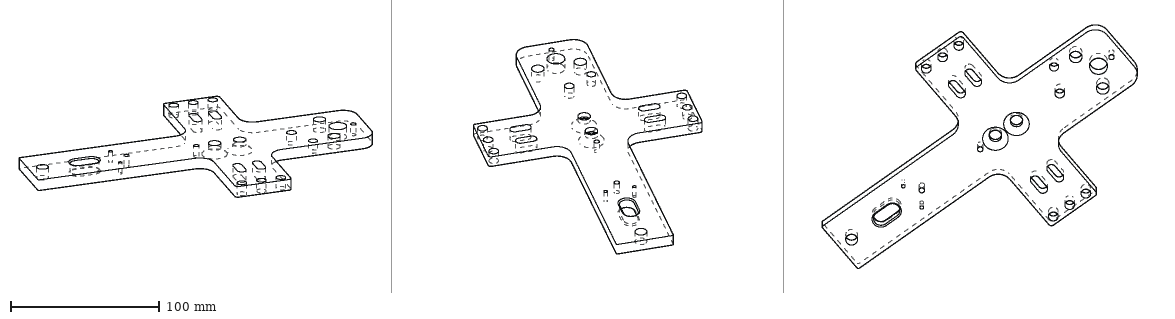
import cadquery as cq

length = 240.0
arm_span = 150.0
thickness = 8.0
head_width = 50.0
tail_width = 40.0
arm_width = 40.0
arm_center_y = 22.0

head_corner_radius = 10.0
inner_corner_radius = 10.0
arm_corner_radius = 2.2
tail_corner_radius = 1.0

center_holes = [
    (112.0, 3.5),
    (101.0, 12.0),
    (68.0, 6.5),
    (0.0, 3.5),
    (-50.0, 3.5),
    (-110.0, 8.0),
]

countersunk_ys = [31.0, 13.0]
countersunk_diameter = 8.5
countersink_diameter = 17.3

head_pair_x = 15.0
head_pair_y = 93.0
head_pair_diameter = 8.5
tail_pair_x = 10.0
tail_pair_y = -57.8
tail_pair_diameter = 2.5

side_hole_x = 18.0
side_hole_y = 77.0
side_hole_diameter = 6.0

arm_hole_x = 69.8
arm_hole_pitch = 14.0
arm_hole_diameter = 6.5

arm_slot_x = 45.0
arm_slot_pitch = 14.0
arm_slot_length = 14.6
arm_slot_width = 6.2

tail_slot_y = -80.0
tail_slot_length = 20.0
tail_slot_width = 10.0
tail_slot_chamfer = 1.0


def plate_block(width, y_low, y_high):
    """Rectangular block of plate thickness, centred on X."""
    block = cq.Workplane("XY").box(width, y_high - y_low, thickness, centered=(True, False, False))
    return block.translate((0, y_low, 0))


def round_corners(plate, half_width, y, radius):
    """Round the two upright edges at (+-half_width, y)."""
    for x in (-half_width, half_width):
        corner = cq.selectors.NearestToPointSelector((x, y, thickness / 2))
        plate = plate.edges("|Z").edges(corner).fillet(radius)
    return plate


def make_plate():
    arm_low = arm_center_y - arm_width / 2
    arm_high = arm_center_y + arm_width / 2
    plate = plate_block(arm_span, arm_low, arm_high)
    plate = plate.union(plate_block(head_width, arm_center_y, length / 2))
    plate = plate.union(plate_block(tail_width, -length / 2, arm_center_y))

    plate = round_corners(plate, head_width / 2, length / 2, head_corner_radius)
    plate = round_corners(plate, head_width / 2, arm_high, inner_corner_radius)
    plate = round_corners(plate, tail_width / 2, arm_low, inner_corner_radius)
    plate = round_corners(plate, arm_span / 2, arm_high, arm_corner_radius)
    plate = round_corners(plate, arm_span / 2, arm_low, arm_corner_radius)
    return round_corners(plate, tail_width / 2, -length / 2, tail_corner_radius)


def drill(plate, points, diameter):
    """Cut round through holes at the given points."""
    cutter = cq.Workplane("XY").pushPoints(points).circle(diameter / 2).extrude(thickness)
    return plate.cut(cutter)


def cut_holes(plate):
    for y, diameter in center_holes:
        plate = drill(plate, [(0, y)], diameter)

    for x, y, diameter in [
        (head_pair_x, head_pair_y, head_pair_diameter),
        (tail_pair_x, tail_pair_y, tail_pair_diameter),
    ]:
        plate = drill(plate, [(-x, y), (x, y)], diameter)

    plate = drill(plate, [(side_hole_x, side_hole_y)], side_hole_diameter)

    arm_points = [
        (side * arm_hole_x, arm_center_y + row * arm_hole_pitch)
        for side in (-1, 1)
        for row in (-1, 0, 1)
    ]
    return drill(plate, arm_points, arm_hole_diameter)


def cut_countersunk_holes(plate):
    hole_radius = countersunk_diameter / 2
    sink_radius = countersink_diameter / 2
    sink_depth = sink_radius - hole_radius
    for y in countersunk_ys:
        plate = drill(plate, [(0, y)], countersunk_diameter)
        sink = cq.Solid.makeCone(sink_radius, hole_radius, sink_depth, pnt=cq.Vector(0, y, 0))
        plate = plate.cut(cq.Workplane(obj=sink))
    return plate


def cut_arm_slots(plate):
    points = [
        (side * arm_slot_x, arm_center_y + row * arm_slot_pitch / 2)
        for side in (-1, 1)
        for row in (-1, 1)
    ]
    outlines = cq.Workplane("XY").pushPoints(points).slot2D(arm_slot_length, arm_slot_width)
    return plate.cut(outlines.extrude(thickness))


def cut_tail_slot(plate):
    outline = cq.Workplane("XY").center(0, tail_slot_y).slot2D(tail_slot_length, tail_slot_width, 90)
    plate = plate.cut(outline.extrude(thickness))
    rim = cq.selectors.BoxSelector(
        (-tail_slot_width, tail_slot_y - tail_slot_length, -thickness),
        (tail_slot_width, tail_slot_y + tail_slot_length, 2 * thickness),
    )
    return plate.faces("<Z or >Z").edges(rim).chamfer(tail_slot_chamfer)


plate = make_plate()
plate = cut_holes(plate)
plate = cut_countersunk_holes(plate)
plate = cut_arm_slots(plate)
result = cut_tail_slot(plate)